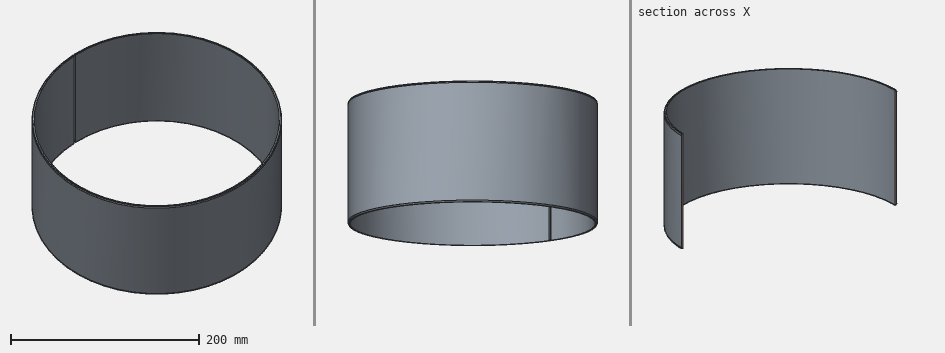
import cadquery as cq
import math

outer_diameter = 265.0
height = 130.0
wall = 2.5
edge_chamfer_width = 0.65
edge_chamfer_height = 1.5
slit_width = 2.5

outer_radius = outer_diameter / 2
inner_radius = outer_radius - wall
chamfer_radius = outer_radius - edge_chamfer_width
half_height = height / 2
chamfer_start = half_height - edge_chamfer_height
slit_angle = math.degrees(slit_width / outer_radius)

wall_section = (
    cq.Workplane("XZ")
    .moveTo(-inner_radius, -half_height)
    .lineTo(-chamfer_radius, -half_height)
    .lineTo(-outer_radius, -chamfer_start)
    .lineTo(-outer_radius, chamfer_start)
    .lineTo(-chamfer_radius, half_height)
    .lineTo(-inner_radius, half_height)
    .close()
)

result = wall_section.revolve(360 - slit_angle, (0, 0, 0), (0, 1, 0))